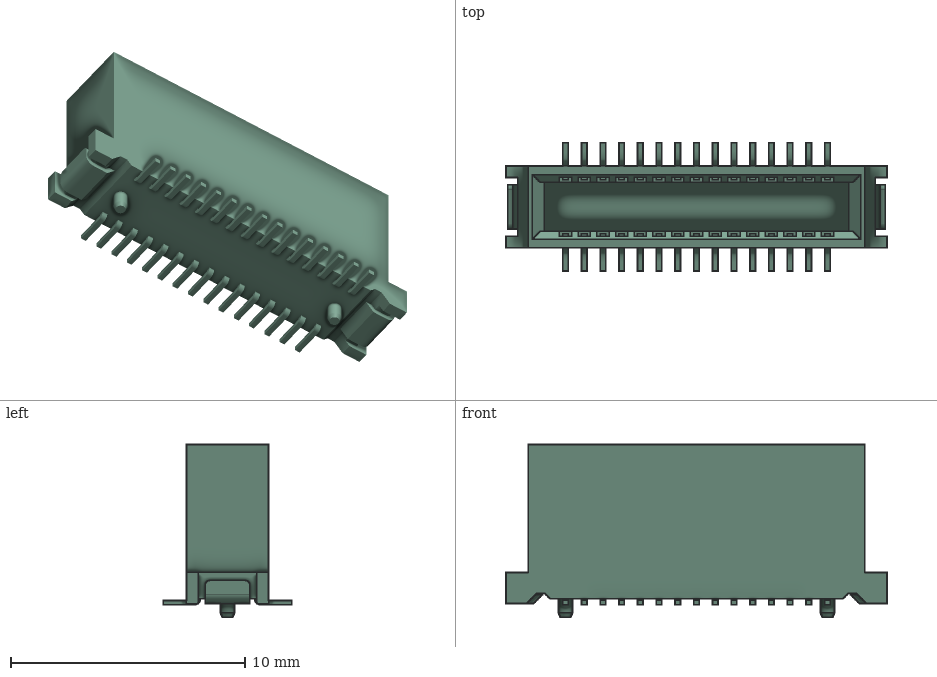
import cadquery as cq
import math


OVERALL_LENGTH = 16.3
HOUSING_LENGTH = 14.4
HOUSING_WIDTH = 3.5
HOUSING_TOP = 6.86
HOUSING_BOTTOM = 0.26

FOOT_BOTTOM = 0.05
FLANGE_TOP = 1.39
FOOT_WIDTH = 0.5
RECESS_DEPTH = 0.5
RECESS_WIDTH = HOUSING_WIDTH - 2 * FOOT_WIDTH

NOTCH_TOP = 0.49
FOOT_INNER_X = 7.27
NOTCH_OUTER_X = FOOT_INNER_X - (NOTCH_TOP - FOOT_BOTTOM)
NOTCH_INNER_X = 6.49

CAVITY_LENGTH = 13.0
CAVITY_WIDTH = 2.1
CAVITY_FLOOR = 1.25
SIDE_CHAMFER = 0.33
END_CHAMFER = 0.5

CONTACTS_PER_ROW = 15
CONTACT_ROW_LENGTH = 11.2
LEAD_SPAN = 5.5
CONTACT_WIDTH = 0.25
CONTACT_THICKNESS = 0.2
CONTACT_BEND_RADIUS = 0.3
CONTACT_RECESS = 0.1
POCKET_WIDTH = 0.52
POCKET_DEPTH = 0.21
TIP_RISE = 0.08

PEG_DIAMETER = 0.6
PEG_TIP_DIAMETER = 0.44
PEG_BOTTOM = -0.54
PEG_TAPER_HEIGHT = 0.2

STRIP_THICKNESS = HOUSING_BOTTOM - FOOT_BOTTOM
TAIL_TOP = 0.44
FITTING_WIDTH = 1.9
FITTING_OUTER_X = 8.07
FITTING_HEIGHT = 1.0
BEND_RADIUS = 0.4
PLATE_CORNER_RADIUS = 0.2

end_x = OVERALL_LENGTH / 2
contact_pitch = CONTACT_ROW_LENGTH / (CONTACTS_PER_ROW - 1)
contact_xs = [i * contact_pitch - CONTACT_ROW_LENGTH / 2 for i in range(CONTACTS_PER_ROW)]


def box(x_range, y_range, z_range):
    """Box between the given pairs of limits."""
    lows, highs = zip(x_range, y_range, z_range)
    size = [high - low for low, high in zip(lows, highs)]
    return cq.Workplane("XY").box(*size, centered=False).translate(lows)


def extrude_both_ways(outline, width):
    """Extrusion of the given total width, centred on the outline's plane."""
    return outline.extrude(width / 2, both=True)


def both_ends(solid):
    """The solid together with its mirror image at the opposite X end."""
    return solid.union(solid.mirror("YZ"))


def both_sides(solid):
    """The solid together with its mirror image on the opposite Y side."""
    return solid.union(solid.mirror("XZ"))


def make_housing():
    """Housing and flanges, before the cavity is cut."""
    half_length = HOUSING_LENGTH / 2
    notch_inner_foot_x = NOTCH_INNER_X - (NOTCH_TOP - HOUSING_BOTTOM)
    right_edge = [
        (notch_inner_foot_x, HOUSING_BOTTOM),
        (NOTCH_INNER_X, NOTCH_TOP),
        (NOTCH_OUTER_X, NOTCH_TOP),
        (FOOT_INNER_X, FOOT_BOTTOM),
        (end_x, FOOT_BOTTOM),
        (end_x, FLANGE_TOP),
        (half_length, FLANGE_TOP),
        (half_length, HOUSING_TOP),
    ]
    left_edge = [(-x, z) for x, z in reversed(right_edge)]
    outline = cq.Workplane("XZ").polyline(right_edge + left_edge).close()
    return extrude_both_ways(outline, HOUSING_WIDTH)


def make_flange_cuts():
    """Recess in the flange end face and the relief under the flange between its feet."""
    half_width = RECESS_WIDTH / 2
    recess = box(
        (end_x - RECESS_DEPTH, end_x),
        (-half_width, half_width),
        (FOOT_BOTTOM, FLANGE_TOP),
    )
    relief = box(
        (NOTCH_OUTER_X, end_x),
        (-half_width, half_width),
        (FOOT_BOTTOM, HOUSING_BOTTOM),
    )
    return both_ends(recess.union(relief))


def flared_profile(plane, straight_width, chamfer):
    """Straight-sided cavity section whose mouth flares at 45 degrees."""
    half = straight_width / 2
    right_edge = [
        (half, CAVITY_FLOOR),
        (half, HOUSING_TOP - chamfer),
        (half + chamfer, HOUSING_TOP),
    ]
    left_edge = [(-u, z) for u, z in reversed(right_edge)]
    return cq.Workplane(plane).polyline(right_edge + left_edge).close()


def make_cavity():
    """Cavity where two flared prisms cross, giving the sides and ends their own chamfers."""
    lengthwise = extrude_both_ways(flared_profile("XZ", CAVITY_LENGTH, END_CHAMFER), HOUSING_WIDTH)
    crosswise = extrude_both_ways(flared_profile("YZ", CAVITY_WIDTH, SIDE_CHAMFER), HOUSING_LENGTH)
    return lengthwise.intersect(crosswise)


def make_pockets():
    """Small pockets in the side chamfers that expose the contact tips."""
    wall_y = CAVITY_WIDTH / 2
    pockets = cq.Workplane("XY")
    for x in contact_xs:
        pockets = pockets.add(box(
            (x - POCKET_WIDTH / 2, x + POCKET_WIDTH / 2),
            (wall_y, wall_y + POCKET_DEPTH),
            (HOUSING_TOP - SIDE_CHAMFER, HOUSING_TOP),
        ))
    return both_sides(pockets.combine())


def make_contacts():
    """Bent-strip contacts: an upright inside the side wall and a lead running outwards."""
    inner_y = CAVITY_WIDTH / 2 + CONTACT_RECESS
    upright_y = inner_y + CONTACT_THICKNESS
    tip_z = HOUSING_TOP - SIDE_CHAMFER + TIP_RISE
    outline = (
        cq.Workplane("YZ")
        .moveTo(inner_y, CONTACT_BEND_RADIUS)
        .radiusArc((inner_y + CONTACT_BEND_RADIUS, 0), -CONTACT_BEND_RADIUS)
        .lineTo(LEAD_SPAN / 2, 0)
        .lineTo(LEAD_SPAN / 2, CONTACT_THICKNESS)
        .lineTo(upright_y, CONTACT_THICKNESS)
        .lineTo(upright_y, tip_z)
        .lineTo(inner_y, tip_z)
        .close()
    )
    contact = extrude_both_ways(outline, CONTACT_WIDTH)
    contacts = cq.Workplane("XY")
    for x in contact_xs:
        contacts = contacts.add(contact.translate((x, 0, 0)))
    return both_sides(contacts.combine())


def make_pegs():
    """Round pegs with tapered tips, in line with the outermost contacts."""
    radius = PEG_DIAMETER / 2
    peg = (
        cq.Workplane("XZ")
        .moveTo(0, PEG_BOTTOM)
        .lineTo(PEG_TIP_DIAMETER / 2, PEG_BOTTOM)
        .lineTo(radius, PEG_BOTTOM + PEG_TAPER_HEIGHT)
        .lineTo(radius, HOUSING_BOTTOM)
        .lineTo(0, HOUSING_BOTTOM)
        .close()
        .revolve(360, (0, 0), (0, 1))
    )
    return both_ends(peg.translate((CONTACT_ROW_LENGTH / 2, 0, 0)))


def make_fittings():
    """Upright plate, rounded bend, leg under the flange and a 45 degree tail up into the notch."""
    bend_x = FITTING_OUTER_X - BEND_RADIUS
    bend_z = FOOT_BOTTOM + BEND_RADIUS
    inner_radius = BEND_RADIUS - STRIP_THICKNESS
    plate_top = FOOT_BOTTOM + FITTING_HEIGHT
    diagonal = math.sqrt(0.5)
    tail_top_x = FOOT_INNER_X - (TAIL_TOP - FOOT_BOTTOM)
    tail_width_x = STRIP_THICKNESS / diagonal
    outline = (
        cq.Workplane("XZ")
        .moveTo(FITTING_OUTER_X, plate_top)
        .lineTo(FITTING_OUTER_X, bend_z)
        .threePointArc(
            (bend_x + BEND_RADIUS * diagonal, bend_z - BEND_RADIUS * diagonal),
            (bend_x, FOOT_BOTTOM),
        )
        .lineTo(FOOT_INNER_X - tail_width_x, FOOT_BOTTOM)
        .lineTo(tail_top_x - tail_width_x, TAIL_TOP)
        .lineTo(tail_top_x, TAIL_TOP)
        .lineTo(FOOT_INNER_X - (HOUSING_BOTTOM - FOOT_BOTTOM), HOUSING_BOTTOM)
        .lineTo(bend_x, HOUSING_BOTTOM)
        .threePointArc(
            (bend_x + inner_radius * diagonal, bend_z - inner_radius * diagonal),
            (FITTING_OUTER_X - STRIP_THICKNESS, bend_z),
        )
        .lineTo(FITTING_OUTER_X - STRIP_THICKNESS, plate_top)
        .close()
    )
    fitting = extrude_both_ways(outline, FITTING_WIDTH)
    fitting = fitting.faces(">Z").edges("|X").fillet(PLATE_CORNER_RADIUS)
    return both_ends(fitting)


result = (
    make_housing()
    .cut(make_flange_cuts())
    .cut(make_cavity())
    .cut(make_pockets())
    .union(make_contacts())
    .union(make_pegs())
    .union(make_fittings())
)